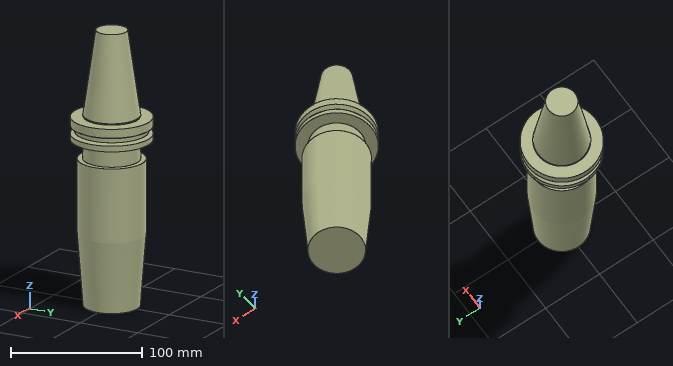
import cadquery as cq

total_length = 220.6

taper_length = 68.5
taper_tip_diameter = 24.7
taper_base_diameter = 44.4
relief_diameter = 43.2
relief_height = 1.0

flange_diameter = 63.5
flange_height = 18.0
groove_root_diameter = 56.5
groove_mouth_top = 7.0
groove_root_top = 8.5
groove_root_bottom = 12.0
groove_mouth_bottom = 13.5

neck_diameter = 44.4
body_diameter = 53.0
body_top = 117.5
cone_top = 57.8
nose_diameter = 44.1

taper_bottom = total_length - taper_length
flange_top = taper_bottom - relief_height
flange_bottom = flange_top - flange_height


def section(lower_z, upper_z, lower_diameter, upper_diameter):
    """Return a cylinder or cone frustum between two levels."""
    return (
        cq.Workplane("XZ")
        .polyline([
            (0, lower_z),
            (lower_diameter / 2, lower_z),
            (upper_diameter / 2, upper_z),
            (0, upper_z),
        ])
        .close()
        .revolve(360, (0, 0, 0), (0, 1, 0))
    )


def groove():
    """Return the ring removed from the flange rim."""
    rim_radius = flange_diameter / 2
    root_radius = groove_root_diameter / 2
    return (
        cq.Workplane("XZ")
        .polyline([
            (rim_radius, flange_top - groove_mouth_top),
            (root_radius, flange_top - groove_root_top),
            (root_radius, flange_top - groove_root_bottom),
            (rim_radius, flange_top - groove_mouth_bottom),
        ])
        .close()
        .revolve(360, (0, 0, 0), (0, 1, 0))
    )


nose = section(0, cone_top, nose_diameter, body_diameter)
body = section(cone_top, body_top, body_diameter, body_diameter)
neck = section(body_top, flange_bottom, neck_diameter, neck_diameter)
flange = section(flange_bottom, flange_top, flange_diameter, flange_diameter).cut(groove())
relief = section(flange_top, taper_bottom, relief_diameter, relief_diameter)
taper = section(taper_bottom, total_length, taper_base_diameter, taper_tip_diameter)

result = nose.union(body).union(neck).union(flange).union(relief).union(taper)